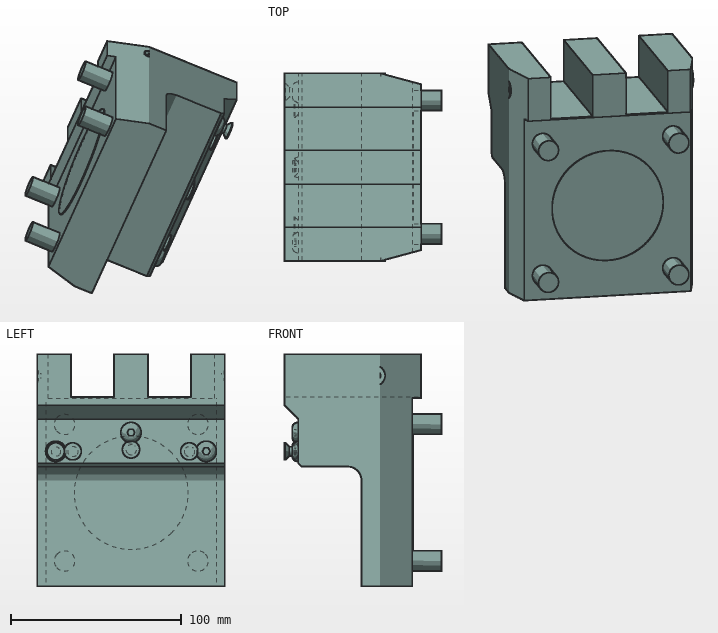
import cadquery as cq
import math

height = 136.0
width = 110.0
front_ledge_x = 8.0
front_column_x = 45.0
back_x = 75.0
hook_back_x = 80.0
nose_height = 30.0
nose_slope = 8.0
overhang_z = 70.0
overhang_chamfer = 2.0
column_fillet = 8.0
hook_height = 25.8

taper_start_x = 56.0
taper_angle = 15.0

slot_width = 25.0
slot_depth = 25.0
tooth_width = (width - 2 * slot_width) / 3

pin_radius = 6.0
pin_end_x = 92.0
pin_spacing_y = 78.0
pin_spacing_z = 80.0
lower_pin_z = 15.0

pad_radius = 33.3
pad_thickness = 0.5

rod_radius = 6.0
rod_bore_radius = 3.4
rod_bore_depth = 2.0
rod_x = 52.9
rod_z = 123.4

screw_spread_y = 44.0
outer_screw_z = 79.0
middle_screw_z = 90.0
button_base_radius = 6.0
button_face_radius = 3.0
button_height = 3.5
button_bulge = 0.7
socket_flats = 4.0
socket_depth = 2.0

flat_head_radius = 5.0
flat_head_rim = 0.5
flat_head_cone = 2.3
flat_shank_radius = 2.7
flat_head_x = 5.5
flat_head_offset = 9.9
shank_embed = 2.7


def rod_axis_cylinder(radius):
    """Cylinder on the cross rod axis, as long as the body is wide."""
    disc = cq.Workplane("XZ", origin=(rod_x, 0, rod_z)).circle(radius)
    return disc.extrude(width / 2, both=True)


def make_body():
    """Extruded side outline with tapered sides."""
    nose_bottom_z = height - nose_height
    body = (
        cq.Workplane("XZ")
        .moveTo(0, height)
        .lineTo(0, nose_bottom_z)
        .lineTo(front_ledge_x, nose_bottom_z - nose_slope)
        .lineTo(front_ledge_x, overhang_z + overhang_chamfer)
        .lineTo(front_ledge_x + overhang_chamfer, overhang_z)
        .lineTo(front_column_x - column_fillet, overhang_z)
        .radiusArc((front_column_x, overhang_z - column_fillet), column_fillet)
        .lineTo(front_column_x, 0)
        .lineTo(back_x, 0)
        .lineTo(back_x, height - hook_height)
        .lineTo(hook_back_x, height - hook_height)
        .lineTo(hook_back_x, height)
        .close()
        .extrude(width / 2, both=True)
    )

    taper_depth = (hook_back_x - taper_start_x) * math.tan(math.radians(taper_angle))
    for side in (-1, 1):
        wedge = (
            cq.Workplane("XY")
            .moveTo(taper_start_x, side * width / 2)
            .lineTo(hook_back_x, side * width / 2)
            .lineTo(hook_back_x, side * (width / 2 - taper_depth))
            .close()
            .extrude(height)
        )
        body = body.cut(wedge)
    return body


def make_rod_bore_slivers():
    """Parts of the bores in the rod ends that lie behind the start of the taper."""
    bore = rod_axis_cylinder(rod_bore_radius)
    filled_front = cq.Workplane("XY").box(
        taper_start_x, width, height, centered=(False, True, False)
    )
    filled_middle = cq.Workplane("XY").box(
        hook_back_x, width - 2 * rod_bore_depth, height, centered=(False, True, False)
    )
    return bore.cut(filled_front).cut(filled_middle)


def make_slots():
    """Two slots along X that leave three equal teeth."""
    slot_y = (tooth_width + slot_width) / 2
    return (
        cq.Workplane("XY", origin=(0, 0, height - slot_depth))
        .pushPoints([(hook_back_x / 2, -slot_y), (hook_back_x / 2, slot_y)])
        .rect(hook_back_x, slot_width)
        .extrude(slot_depth)
    )


def x_cylinder(radius, x_start, x_end, y, z):
    """Cylinder along X."""
    disc = cq.Workplane("YZ", origin=(x_start, y, z)).circle(radius)
    return disc.extrude(x_end - x_start)


def revolve_about_x(profile):
    """Full turn of an XY profile about the X axis."""
    return profile.close().revolve(360, (0, 0, 0), (1, 0, 0))


def make_button_head():
    """Domed head standing on x = 0 and facing -X, with a hexagon socket."""
    middle = (
        -button_height / 2 - button_bulge,
        (button_base_radius + button_face_radius) / 2 + button_bulge,
    )
    dome = revolve_about_x(
        cq.Workplane("XY")
        .lineTo(0, button_base_radius)
        .threePointArc(middle, (-button_height, button_face_radius))
        .lineTo(-button_height, 0)
    )
    socket_across_corners = socket_flats / math.cos(math.radians(30))
    socket = (
        cq.Workplane("YZ", origin=(-button_height, 0, 0))
        .polygon(6, socket_across_corners)
        .extrude(socket_depth)
    )
    return dome.cut(socket)


def make_flat_head(shank_end):
    """Countersunk screw with its flat face on x = 0, shank reaching to shank_end."""
    cone_end = flat_head_rim + flat_head_cone
    return revolve_about_x(
        cq.Workplane("XY")
        .lineTo(0, flat_head_radius)
        .lineTo(flat_head_rim, flat_head_radius)
        .lineTo(cone_end, flat_shank_radius)
        .lineTo(shank_end, flat_shank_radius)
        .lineTo(shank_end, 0)
    )


result = make_body().union(rod_axis_cylinder(rod_radius))
result = result.cut(make_rod_bore_slivers()).cut(make_slots())

for pin_y in (-pin_spacing_y / 2, pin_spacing_y / 2):
    for pin_z in (lower_pin_z, lower_pin_z + pin_spacing_z):
        result = result.union(x_cylinder(pin_radius, back_x, pin_end_x, pin_y, pin_z))
pad_z = lower_pin_z + pin_spacing_z / 2
result = result.union(x_cylinder(pad_radius, back_x, back_x + pad_thickness, 0, pad_z))

screw_pairs = [
    (screw_spread_y, outer_screw_z, -flat_head_offset, 0),
    (0, middle_screw_z, 0, -flat_head_offset),
    (-screw_spread_y, outer_screw_z, flat_head_offset, 0),
]
shank_end_x = front_ledge_x + shank_embed
button_head = make_button_head()
seated_flat_head = make_flat_head(shank_end_x - flat_head_x)
for screw_y, screw_z, shift_y, shift_z in screw_pairs:
    result = result.union(button_head.translate((front_ledge_x, screw_y, screw_z)))
    flat_place = (flat_head_x, screw_y + shift_y, screw_z + shift_z)
    result = result.union(seated_flat_head.translate(flat_place))

raised_flat_head = make_flat_head(shank_end_x)
result = result.union(raised_flat_head.translate((0, screw_spread_y, outer_screw_z)))